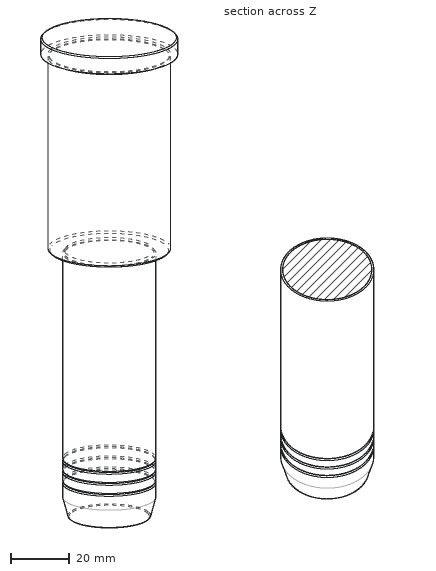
import cadquery as cq
import math

total_length = 171.0
head_radius = 23.51
head_height = 6.0
body_radius = 21.0
body_bottom = 95.0
shank_diameter = 32.0
shank_radius = shank_diameter / 2

head_chamfer = 0.5
body_chamfer = 0.7
tip_chamfer = 0.3

head_relief_height = 1.0
head_relief_depth = 0.5
body_relief_height = 1.0
body_relief_depth = 0.7

groove_width = 1.0
groove_depth = 0.3
lowest_groove_center = 12.5
groove_pitch = 4.0
groove_count = 3

taper_height = 7.0
taper_angle = 15.0


def cylinder(radius, bottom, top):
    return cq.Workplane("XY").workplane(offset=bottom).circle(radius).extrude(top - bottom)


def ring_cut(outer_radius, depth, bottom, top):
    return cylinder(outer_radius, bottom, top).cut(cylinder(outer_radius - depth, bottom, top))


def v_groove_cut(outer_radius, depth, bottom, top):
    middle = (bottom + top) / 2
    profile = [(outer_radius, bottom), (outer_radius - depth, middle), (outer_radius, top)]
    return cq.Workplane("XZ").polyline(profile).close().revolve(360, (0, 0, 0), (0, 1, 0))


def make_head():
    head = cylinder(head_radius, total_length - head_height, total_length)
    return head.faces(">Z").edges().chamfer(head_chamfer)


def make_body():
    body_top = total_length - head_height
    body = cylinder(body_radius, body_bottom, body_top)
    body = body.faces("<Z").edges().chamfer(body_chamfer)
    relief = v_groove_cut(body_radius, head_relief_depth, body_top - head_relief_height, body_top)
    return body.cut(relief)


def make_shank():
    shank = cylinder(shank_radius, taper_height, body_bottom)
    relief = ring_cut(shank_radius, body_relief_depth, body_bottom - body_relief_height, body_bottom)
    shank = shank.cut(relief)
    for index in range(groove_count):
        bottom = lowest_groove_center + index * groove_pitch - groove_width / 2
        shank = shank.cut(v_groove_cut(shank_radius, groove_depth, bottom, bottom + groove_width))
    return shank


def make_tip():
    tip_radius = shank_radius - taper_height * math.tan(math.radians(taper_angle))
    tip = (
        cq.Workplane("XY")
        .circle(tip_radius)
        .workplane(offset=taper_height)
        .circle(shank_radius)
        .loft(ruled=True)
    )
    return tip.faces("<Z").edges().chamfer(tip_chamfer)


result = make_head().union(make_body()).union(make_shank()).union(make_tip())